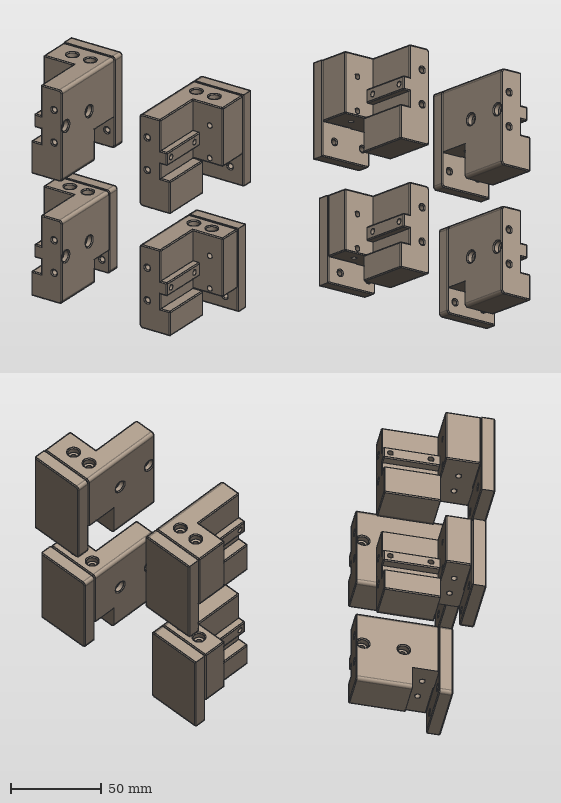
import cadquery as cq

OVERALL_WIDTH = 120.0
GAP_BETWEEN_LEVELS = 24.0

BRACKET_WIDTH = 34.0
ARM_HEIGHT = 36.0
ARM_FRONT = 32.0
WALL_THICKNESS = 14.0
RIB_HEIGHT = 8.0
RIB_CENTRE_DROP = 23.0
RIB_PROJECTION = 4.5
FOOT_PROJECTION = 6.5
WALL_FACE = BRACKET_WIDTH - WALL_THICKNESS
RIB_FACE = WALL_FACE - RIB_PROJECTION
FOOT_FACE = WALL_FACE - FOOT_PROJECTION
RIB_TOP = -(RIB_CENTRE_DROP - RIB_HEIGHT / 2)
RIB_BOTTOM = RIB_TOP - RIB_HEIGHT

PLATE_THICKNESS = 8.0

TALL_HEIGHT = 56.0
TALL_ARM_DEPTH = 20.0
SHORT_HEIGHT = 51.0
SHORT_ARM_DEPTH = 15.0

EDGE_CHAMFER = 0.6
INNER_RADIUS = 2.0

HOLE_DIAMETER = 3.2
COUNTERBORE_DIAMETER = 6.5
COUNTERBORE_DEPTH = 3.5
MOUTH_CHAMFER = 0.6
FRONT_HOLE_DROPS = (13.0, 33.0)
ARM_HOLE_X = 8.8
WALL_HOLE_X = 28.8
TOP_HOLE_XS = (12.5, 24.5)
RIB_HOLE_YS = (4.0, 27.0)
PLATE_HOLE_DEPTH = 6.0


def drill(start, direction, diameter, depth, mouth=0.0):
    """Round cutter running from start along direction, flared at its mouth."""
    point, axis = cq.Vector(*start), cq.Vector(*direction)
    cutter = cq.Workplane(cq.Solid.makeCylinder(diameter / 2, depth, point, axis))
    if mouth:
        flare = cq.Solid.makeCone(diameter / 2 + mouth, diameter / 2, mouth, point, axis)
        cutter = cutter.union(cq.Workplane(flare))
    return cutter


def counterbored(start, direction, depth):
    """Through-hole cutter with a counterbore whose mouth is flared."""
    bore = drill(start, direction, COUNTERBORE_DIAMETER, COUNTERBORE_DEPTH, MOUTH_CHAMFER)
    return bore.union(drill(start, direction, HOLE_DIAMETER, depth))


def box(x_min, x_max, y_min, y_max, z_min, z_max):
    """Rectangular block between the given limits."""
    size = (x_max - x_min, y_max - y_min, z_max - z_min)
    return cq.Workplane().box(*size, centered=False).translate((x_min, y_min, z_min))


def wall(height, depth):
    """Upright wall with its rib and foot on the outer side, full depth of the bracket."""
    outline = [
        (BRACKET_WIDTH, 0),
        (WALL_FACE, 0),
        (WALL_FACE, RIB_TOP),
        (RIB_FACE, RIB_TOP),
        (RIB_FACE, RIB_BOTTOM),
        (WALL_FACE, RIB_BOTTOM),
        (WALL_FACE, -ARM_HEIGHT),
        (FOOT_FACE, -ARM_HEIGHT),
        (FOOT_FACE, -height),
        (BRACKET_WIDTH, -height),
    ]
    body = cq.Workplane("XZ").polyline(outline).close().extrude(-depth)
    body = body.edges("|Y and >X").fillet(INNER_RADIUS)
    outer_corners = [
        (WALL_FACE, 0),
        (RIB_FACE, RIB_TOP),
        (RIB_FACE, RIB_BOTTOM),
        (FOOT_FACE, -ARM_HEIGHT),
        (FOOT_FACE, -height),
    ]
    sharp_edges = body.faces("<Y or >Y").edges().vals()
    for x, z in outer_corners:
        sharp_edges += body.edges(cq.NearestToPointSelector((x, depth / 2, z))).vals()
    body = body.newObject(sharp_edges).chamfer(EDGE_CHAMFER)
    return body.cut(box(0, BRACKET_WIDTH, ARM_FRONT, depth, -height, -ARM_HEIGHT))


def arm(depth):
    """Block behind the wall that reaches across to the outer side."""
    body = box(0, BRACKET_WIDTH, ARM_FRONT, depth, -ARM_HEIGHT, 0)
    body = body.edges("|Y and >X and >Z").fillet(INNER_RADIUS)
    return body.faces("<X or <Y or >Y or <Z").edges().chamfer(EDGE_CHAMFER)


def bracket(height, arm_depth):
    """L-shaped bracket: wall and arm in one piece, with all its screw holes."""
    depth = ARM_FRONT + arm_depth
    body = wall(height, depth).union(arm(depth))
    for drop in FRONT_HOLE_DROPS:
        body = body.cut(drill((ARM_HOLE_X, ARM_FRONT, -drop), (0, 1, 0), HOLE_DIAMETER, arm_depth))
        body = body.cut(drill((WALL_HOLE_X, 0, -drop), (0, 1, 0), HOLE_DIAMETER, depth, MOUTH_CHAMFER))
    for x in TOP_HOLE_XS:
        body = body.cut(counterbored((x, ARM_FRONT + arm_depth / 2, 0), (0, 0, -1), ARM_HEIGHT))
    for y in RIB_HOLE_YS:
        body = body.cut(counterbored((BRACKET_WIDTH, y, -RIB_CENTRE_DROP), (-1, 0, 0), BRACKET_WIDTH))
    return body


def back_plate(height, arm_depth):
    """Plate against the back of the arm, with blind holes below the arm."""
    front = ARM_FRONT + arm_depth
    body = box(0, BRACKET_WIDTH, front, front + PLATE_THICKNESS, -height, 0)
    body = body.edges("|Y and >X").fillet(INNER_RADIUS)
    body = body.faces("<Y or >Y").edges().chamfer(EDGE_CHAMFER)
    hole_z = -(ARM_HEIGHT + height) / 2
    for x in (ARM_HOLE_X, WALL_HOLE_X):
        start = (x, front, hole_z)
        body = body.cut(drill(start, (0, 1, 0), HOLE_DIAMETER, PLATE_HOLE_DEPTH, MOUTH_CHAMFER))
    return body


levels = [
    (SHORT_HEIGHT, SHORT_ARM_DEPTH, SHORT_HEIGHT),
    (TALL_HEIGHT, TALL_ARM_DEPTH, SHORT_HEIGHT + GAP_BETWEEN_LEVELS + TALL_HEIGHT),
]
bodies = []
for height, arm_depth, top in levels:
    for make_body in (bracket, back_plate):
        left = make_body(height, arm_depth).translate((-OVERALL_WIDTH / 2, 0, top))
        for body in (left, left.mirror("YZ")):
            bodies += body.solids().vals()

result = cq.Compound.makeCompound(bodies)